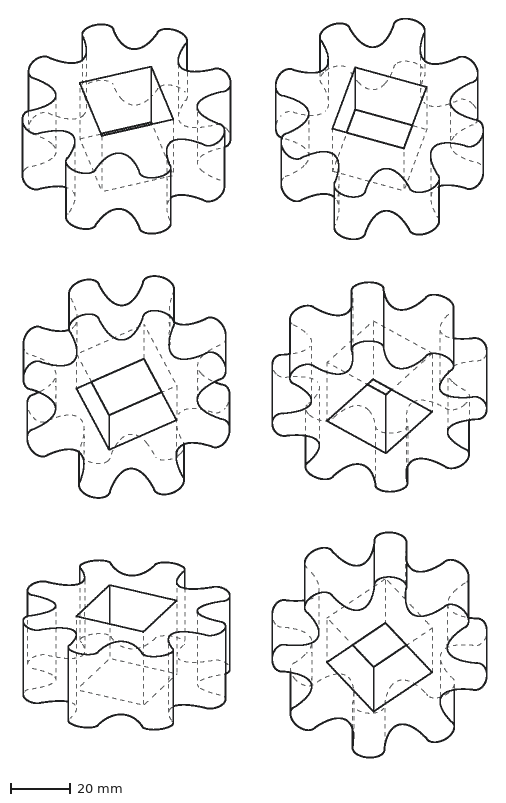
import cadquery as cq
import math

outer_diameter = 73.1
thickness = 28.0
bore_side = 25.4
tooth_count = 8
root_radius = 24.05

head_half_width = 5.5
head_half_length = 3.65
neck_setback = 0.7

tooth_pitch = 360.0 / tooth_count
head_radius = outer_diameter / 2 - head_half_length
neck_height = head_radius - neck_setback
neck_half_width = head_half_width * math.sqrt(1 - (neck_setback / head_half_length) ** 2)
neck_radius = math.hypot(neck_half_width, neck_height)
neck_half_angle = math.degrees(math.atan2(neck_half_width, neck_height))


def polar_point(radius, angle):
    """Point at an angle in degrees, counterclockwise from +X."""
    radians = math.radians(angle)
    return (radius * math.cos(radians), radius * math.sin(radians))


def offset_point(point, distance, angle):
    """Point a signed distance away from another, along an angle in degrees."""
    step_x, step_y = polar_point(distance, angle)
    return (point[0] + step_x, point[1] + step_y)


def make_hub():
    """Body with smooth valleys whose ends run parallel to the neighbouring teeth."""
    valley_half_angle = math.radians(tooth_pitch / 2 - neck_half_angle)
    valley_depth = neck_radius * math.cos(valley_half_angle) - root_radius
    control_depth = valley_depth * 4 / 3
    control_length = control_depth / math.cos(math.radians(tooth_pitch / 2))

    outline = cq.Workplane("XY").moveTo(*polar_point(neck_radius, -neck_half_angle))
    for tooth in range(tooth_count):
        tooth_angle = tooth * tooth_pitch
        next_angle = tooth_angle + tooth_pitch
        valley_start = polar_point(neck_radius, tooth_angle + neck_half_angle)
        valley_end = polar_point(neck_radius, next_angle - neck_half_angle)
        start_control = offset_point(valley_start, -control_length, tooth_angle)
        end_control = offset_point(valley_end, -control_length, next_angle)
        outline = outline.lineTo(*valley_start)
        outline = outline.bezier([valley_start, start_control, end_control, valley_end])
    return outline.close().extrude(thickness)


def make_tooth_heads():
    """Elliptical columns that round off the tooth tips."""
    return (
        cq.Workplane("XY")
        .polarArray(head_radius, 0, 360, tooth_count)
        .ellipse(head_half_length, head_half_width)
        .extrude(thickness)
    )


def make_bore():
    """Square through bore."""
    return cq.Workplane("XY").rect(bore_side, bore_side).extrude(thickness)


result = make_hub().union(make_tooth_heads()).cut(make_bore())